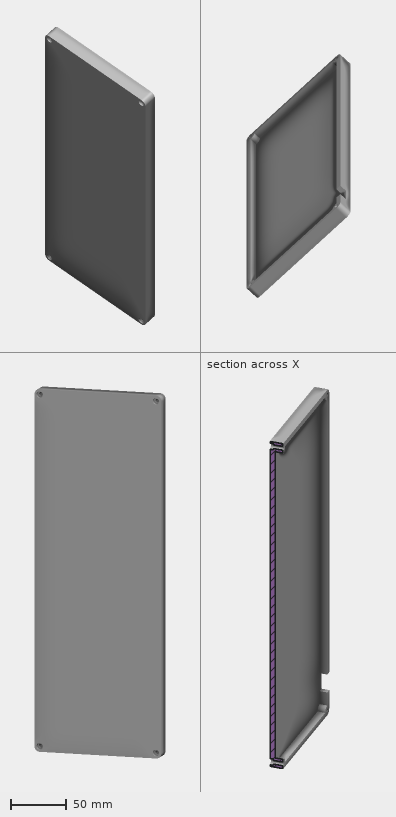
import cadquery as cq

width = 120.5
thickness = 13.0
height = 335.8
corner_radius = 5.0
wall = 5.0
cavity_depth = 7.5

hole_diameter = 3.5
counterbore_diameter = 6.0
counterbore_depth = 3.0
boss_radius = corner_radius
hole_spacing_x = width - 2 * corner_radius
hole_spacing_z = height - 2 * corner_radius

notch_height = 18.5
notch_above_base = 23.5


def make_block():
    return cq.Workplane("XY").box(width, thickness, height).edges("|Y").fillet(corner_radius)


def back_plane():
    """Sketch plane on the back face; extrusions run into the part toward -Y."""
    return cq.Workplane("XZ", origin=(0, thickness / 2, 0))


def at_corners(plane):
    return plane.rect(hole_spacing_x, hole_spacing_z, forConstruction=True).vertices()


def make_cavity():
    """Rectangular recess that leaves a round boss at each screw hole."""
    recess = back_plane().rect(width - 2 * wall, height - 2 * wall).extrude(cavity_depth)
    bosses = at_corners(back_plane()).circle(boss_radius).extrude(cavity_depth)
    return recess.cut(bosses)


def make_notch():
    centre_x = (wall - width) / 2
    centre_z = notch_above_base + (notch_height - height) / 2
    return back_plane().center(centre_x, centre_z).rect(wall, notch_height).extrude(cavity_depth)


def drill_screw_holes(body):
    front = body.faces("<Y").workplane(centerOption="CenterOfBoundBox")
    return at_corners(front).cboreHole(hole_diameter, counterbore_diameter, counterbore_depth)


tray = make_block().cut(make_cavity()).cut(make_notch())
result = drill_screw_holes(tray)